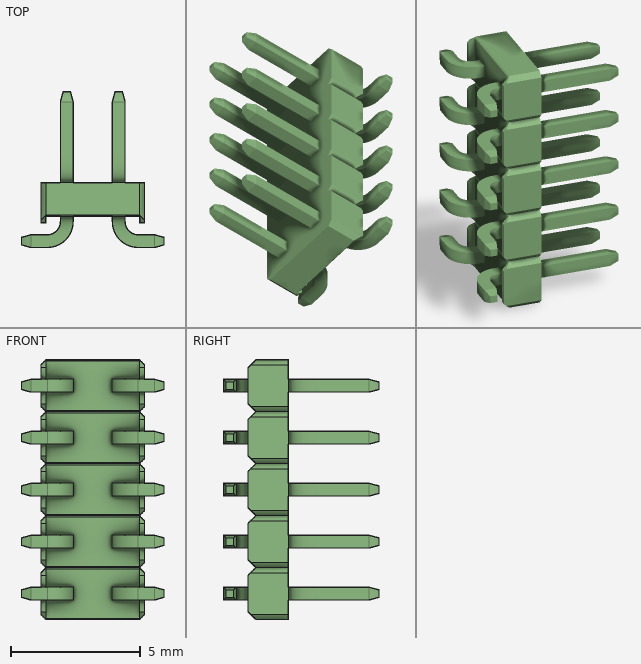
import cadquery as cq

module_count = 5
pitch = 2.0

block_width = 2 * pitch
block_height = pitch
block_depth = 1.55
corner_chamfer = 0.2
front_chamfer = 0.3
recess_depth = 0.25
recess_width = block_width - 2 * corner_chamfer

pin_size = 0.5
pin_offset = pitch / 2
pin_back = 3.5
bend_start = 1.5
inner_radius = 0.5
bend_radius = inner_radius + pin_size / 2
foot_reach = 2.75
tip_size = 0.29
tail_tip_length = 0.39
foot_tip_length = 0.37


def block():
    """Insulator block with chamfered edges and an open recess across its front."""
    body = cq.Workplane("XY").box(
        block_width, block_depth, block_height, centered=(True, False, True)
    ).translate((0, -block_depth, 0))
    body = body.edges("|Y").chamfer(corner_chamfer)
    body = body.faces("<Y").edges("|X").chamfer(front_chamfer)
    recess = cq.Workplane("XY").box(
        recess_width, recess_depth, block_height, centered=(True, False, True)
    ).translate((0, -block_depth, 0))
    return body.cut(recess)


def tapered_tip(base_center, direction, length):
    """Pin end tapering from the full square to the small square."""
    plane = cq.Plane(origin=base_center, xDir=(0, 0, 1), normal=direction)
    return (
        cq.Workplane(plane)
        .rect(pin_size, pin_size)
        .workplane(offset=length)
        .rect(tip_size, tip_size)
        .loft(ruled=True)
    )


def right_pin():
    """Pin running along Y whose front end bends towards +X."""
    tail_end = pin_back - tail_tip_length
    foot_start = pin_offset + bend_radius
    foot_end = foot_reach - foot_tip_length
    foot_y = -bend_start - bend_radius
    path = (
        cq.Workplane("XY")
        .moveTo(pin_offset, tail_end)
        .lineTo(pin_offset, -bend_start)
        .tangentArcPoint((foot_start, foot_y), relative=False)
        .lineTo(foot_end, foot_y)
    )
    section_plane = cq.Plane(origin=(pin_offset, tail_end, 0), xDir=(0, 0, 1), normal=(0, -1, 0))
    bar = cq.Workplane(section_plane).rect(pin_size, pin_size).sweep(path)
    tail_tip = tapered_tip((pin_offset, tail_end, 0), (0, 1, 0), tail_tip_length)
    foot_tip = tapered_tip((foot_end, foot_y, 0), (1, 0, 0), foot_tip_length)
    return bar.union(tail_tip).union(foot_tip)


def module():
    """One block with its pair of mirrored pins."""
    pin = right_pin()
    return block().union(pin).union(pin.mirror("YZ"))


first_z = -pitch * (module_count - 1) / 2
one_module = module()
modules = []
for index in range(module_count):
    placed = one_module.translate((0, 0, first_z + index * pitch))
    modules.append(placed.solids().val())

result = cq.Compound.makeCompound(modules)